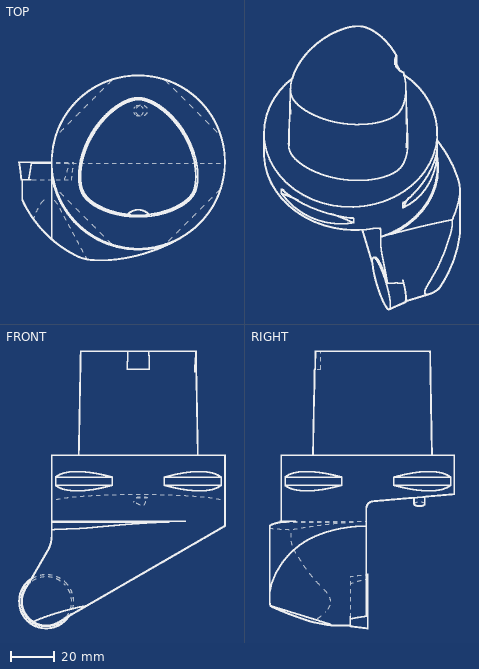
import cadquery as cq
import math


total_height = 128

taper_height = 48.0
taper_top_radius = 26.6
taper_base_radius = 27.5
lobe_height = 2.2
notch_width = 10.0
notch_depth_z = 8.3
notch_radius = 6.7
notch_floor_y = -22.0

flange_diameter = 80.0
flange_radius = flange_diameter / 2
flange_height = 30.5
slot_floor_distance = 35.5
slot_floor_height = 3.7
slot_z = -12.0
slot_flare_angle = 30
slot_count = 4

insert_radius = 12.5
insert_thickness = 8.0
insert_clearance_angle = 7
insert_x = -42.5
insert_z = insert_radius - (total_height - taper_height)

nose_radius = 11.1
flank_angle = 30
flank_fillet = 12.8
shoulder_angle = 15
ledge_width = 0.45
ledge_drop = 0.4
head_face_y = -0.6
head_left_x = -53.8
belly_x = -25.0
belly_y = -44.8
belly_z = -69.6
belly_slope_x = 0.11
belly_slope_y = -0.25

relief_edge_z = -18.0
relief_angle = 5
relief_fillet = 3.3

nozzle_diameter = 5.0
nozzle_x = 0
nozzle_y = 23.8
nozzle_tip_z = -22.5
nozzle_tilt = 25
nozzle_length = 10.2

margin = 12.8


def lobe_points(radius, count=36):
    """Points on a three-lobed curve with one lobe toward +Y."""
    points = []
    for i in range(count):
        angle = 2 * math.pi * i / count
        lobe = 3 * (angle - math.pi / 2)
        reach = radius + lobe_height * math.cos(lobe)
        slope = -3 * lobe_height * math.sin(lobe)
        x = reach * math.cos(angle) - slope * math.sin(angle)
        y = reach * math.sin(angle) + slope * math.cos(angle)
        points.append((x, y))
    return points


def make_taper():
    taper = (
        cq.Workplane("XY")
        .spline(lobe_points(taper_base_radius), periodic=True).close()
        .workplane(offset=taper_height)
        .spline(lobe_points(taper_top_radius), periodic=True).close()
        .loft(ruled=True)
    )
    round_end = (
        cq.Workplane("XY", origin=(0, notch_floor_y - notch_radius, taper_height - notch_depth_z))
        .circle(notch_radius)
        .extrude(notch_depth_z)
    )
    sides = (
        cq.Workplane("XY", origin=(0, notch_floor_y - notch_radius, taper_height - notch_depth_z))
        .rect(notch_width, 2 * notch_radius)
        .extrude(notch_depth_z)
    )
    return taper.cut(round_end.intersect(sides))


def make_slot(angle):
    """Flared straight slot across the rim of the flange."""
    outer = flange_radius + margin
    floor_half = slot_floor_height / 2
    outer_half = floor_half + (outer - slot_floor_distance) * math.tan(math.radians(slot_flare_angle))
    return (
        cq.Workplane("XZ")
        .polyline([
            (slot_floor_distance, slot_z - floor_half),
            (outer, slot_z - outer_half),
            (outer, slot_z + outer_half),
            (slot_floor_distance, slot_z + floor_half),
        ]).close()
        .extrude(flange_radius, both=True)
        .rotate((0, 0, 0), (0, 0, 1), angle)
    )


def make_relief():
    """Space behind the head face and below the sloping underside of the flange."""
    slope = math.tan(math.radians(relief_angle))
    outer_y = flange_radius + margin
    bottom_z = insert_z - insert_radius - margin
    return (
        cq.Workplane("YZ")
        .polyline([
            (head_face_y, relief_edge_z - slope * (flange_radius - head_face_y)),
            (outer_y, relief_edge_z + slope * margin),
            (outer_y, bottom_z),
            (head_face_y, bottom_z),
        ]).close()
        .extrude(2 * flange_radius, both=True)
        .edges(cq.selectors.NearestToPointSelector((0, head_face_y, relief_edge_z)))
        .fillet(relief_fillet)
    )


def make_flange():
    flange = cq.Workplane("XY").circle(flange_radius).extrude(-flange_height)
    for i in range(slot_count):
        flange = flange.cut(make_slot((i + 0.5) * 360 / slot_count))
    return flange


def make_head_plan():
    """Upright prism with the plan outline of the head."""
    rim_join_x = 21.8
    rim_join = (rim_join_x, -math.sqrt(flange_radius**2 - rim_join_x**2))
    rim_end = (math.sqrt(flange_radius**2 - head_face_y**2), head_face_y)
    rim_middle_angle = (math.atan2(rim_join[1], rim_join[0]) + math.atan2(rim_end[1], rim_end[0])) / 2
    rim_middle = (
        flange_radius * math.cos(rim_middle_angle),
        flange_radius * math.sin(rim_middle_angle),
    )
    front_y = -45.3
    return (
        cq.Workplane("XY")
        .moveTo(head_left_x, head_face_y)
        .lineTo(head_left_x, -17.0)
        .threePointArc((-42.5, -33.3), (-28.2, -43.5))
        .threePointArc((-24.3, -44.8), (-20.1, front_y))
        .lineTo(-13.8, front_y)
        .threePointArc((3.0, -42.2), (19.2, -35.2))
        .lineTo(*rim_join)
        .threePointArc(rim_middle, rim_end)
        .close()
        .extrude(insert_z - insert_radius)
    )


def make_head_profile():
    """Side profile: an upright flank, a sloping flank, the round nose and the sloping underside."""
    flank = math.radians(flank_angle)
    across = nose_radius * math.cos(flank)
    along = nose_radius * math.sin(flank)
    upper_tangent = (insert_x - across, insert_z + along)
    lower_tangent = (insert_x + along, insert_z - across)
    nose_tip = (insert_x - nose_radius * math.sqrt(0.5), insert_z - nose_radius * math.sqrt(0.5))
    corner_z = upper_tangent[1] + (-flange_radius - upper_tangent[0]) / math.tan(flank)
    right_z = lower_tangent[1] + (flange_radius - lower_tangent[0]) * math.tan(flank)
    depth = flange_radius + margin
    return (
        cq.Workplane("XZ")
        .moveTo(-flange_radius, -flange_height)
        .lineTo(-flange_radius, corner_z)
        .lineTo(*upper_tangent)
        .threePointArc(nose_tip, lower_tangent)
        .lineTo(flange_radius, right_z)
        .lineTo(flange_radius, -flange_height)
        .close()
        .extrude(depth)
        .edges(cq.selectors.NearestToPointSelector((-flange_radius, -depth / 2, corner_z)))
        .fillet(flank_fillet)
    )


def make_shoulder():
    """Solid of revolution with a narrow ledge and a conical top that trims the shoulder."""
    outer = flange_radius + 2 * margin
    ledge_radius = flange_radius + ledge_width
    cone_top_z = -flange_height - ledge_drop
    outer_z = cone_top_z - (outer - ledge_radius) * math.tan(math.radians(shoulder_angle))
    return (
        cq.Workplane("XZ")
        .polyline([
            (0, -flange_height),
            (ledge_radius, -flange_height),
            (ledge_radius, cone_top_z),
            (outer, outer_z),
            (outer, insert_z - insert_radius),
            (0, insert_z - insert_radius),
        ]).close()
        .revolve(360, (0, 0, 0), (0, 1, 0))
    )


def make_belly_cut():
    """Block below the flat that slants up toward the front of the head."""
    normal = (belly_slope_x, belly_slope_y, -1)
    flat = cq.Plane(origin=(belly_x, belly_y, belly_z), xDir=(1, 0, belly_slope_x), normal=normal)
    return cq.Workplane(flat).rect(3 * flange_radius, 3 * flange_radius).extrude(2 * margin)


def make_nozzle():
    """Short round boss tilted toward the insert side."""
    tilt = math.radians(nozzle_tilt)
    axis = cq.Vector(math.sin(tilt), 0, math.cos(tilt))
    tip = cq.Vector(nozzle_x, nozzle_y, nozzle_tip_z)
    return cq.Workplane(cq.Solid.makeCylinder(nozzle_diameter / 2, nozzle_length, tip, axis))


def make_insert():
    back_radius = insert_radius - insert_thickness * math.tan(math.radians(insert_clearance_angle))
    return cq.Workplane(
        cq.Solid.makeCone(
            insert_radius,
            back_radius,
            insert_thickness,
            cq.Vector(insert_x, 0, insert_z),
            cq.Vector(0, -1, 0),
        )
    )


def make_holder(insert):
    head = make_head_plan().intersect(make_head_profile()).intersect(make_shoulder()).cut(make_belly_cut())
    holder = make_taper().union(make_flange()).union(head)
    return holder.cut(make_relief()).union(make_nozzle()).cut(insert)


cutting_insert = make_insert()
holder = make_holder(cutting_insert)

result = cq.Compound.makeCompound([holder.val(), cutting_insert.val()])